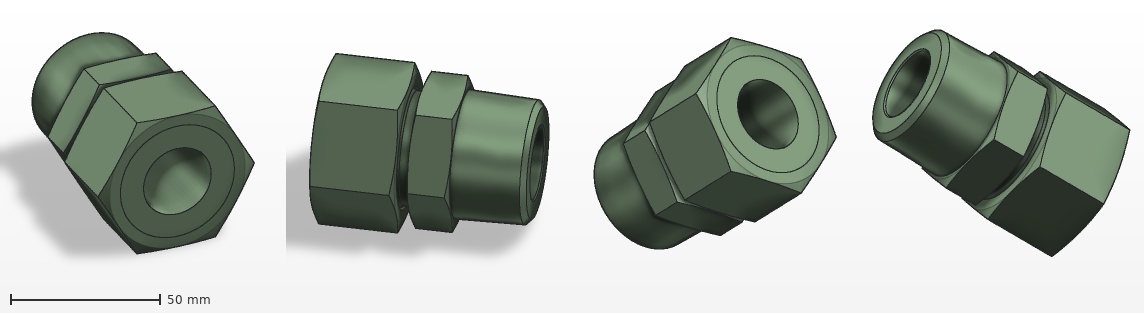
import cadquery as cq
import math

BODY_HEX_START = 25.6
BODY_HEX_END = 40.0
NUT_START = 44.0
TOTAL_LENGTH = 73.0

THREAD_END_RADIUS = 21.9
THREAD_TAPER = 1 / 16
TIP_CHAMFER_LENGTH = 1.9
TIP_RADIUS = 19.05

NECK_RADIUS = 19.5
NECK_END = 43.5
SPIGOT_RADIUS = 21.0
SPIGOT_CONE_ANGLE = 30

BORE_RADIUS = 12.5
BORE_CHAMFER = 0.5

HEX_SIDES = 6
BODY_HEX_FLATS = 46.05
NUT_FLATS = 50.0
HEX_CHAMFER_ANGLE = 15


def turned(profile):
    """Solid of revolution about the X axis from (x, radius) points."""
    return cq.Workplane("XY").polyline(profile).close().revolve(360, (0, 0, 0), (1, 0, 0))


def chamfered_hexagon(start, end, across_flats):
    """Hexagonal prism along X whose corners are turned down at both ends."""
    flat_radius = across_flats / 2
    corner_radius = flat_radius / math.cos(math.pi / HEX_SIDES)
    corner_drop = (corner_radius - flat_radius) * math.tan(math.radians(HEX_CHAMFER_ANGLE))
    prism = cq.Workplane("YZ", origin=(start, 0, 0)).polygon(HEX_SIDES, 2 * corner_radius).extrude(end - start)
    envelope = turned([
        (start, 0),
        (start, flat_radius),
        (start + corner_drop, corner_radius),
        (end - corner_drop, corner_radius),
        (end, flat_radius),
        (end, 0),
    ])
    return prism.intersect(envelope)


def fitting_body():
    """Tapered thread, hexagon, neck and spigot in one piece, bored through."""
    taper_length = BODY_HEX_START - TIP_CHAMFER_LENGTH
    thread_start_radius = THREAD_END_RADIUS - taper_length * THREAD_TAPER / 2
    cone_length = (SPIGOT_RADIUS - NECK_RADIUS) / math.tan(math.radians(SPIGOT_CONE_ANGLE))
    shaft = turned([
        (0, 0),
        (0, TIP_RADIUS),
        (TIP_CHAMFER_LENGTH, thread_start_radius),
        (BODY_HEX_START, THREAD_END_RADIUS),
        (BODY_HEX_START, NECK_RADIUS),
        (NECK_END, NECK_RADIUS),
        (NECK_END + cone_length, SPIGOT_RADIUS),
        (TOTAL_LENGTH, SPIGOT_RADIUS),
        (TOTAL_LENGTH, 0),
    ])
    bore = turned([
        (0, 0),
        (0, BORE_RADIUS + BORE_CHAMFER),
        (BORE_CHAMFER, BORE_RADIUS),
        (TOTAL_LENGTH, BORE_RADIUS),
        (TOTAL_LENGTH, 0),
    ])
    hexagon = chamfered_hexagon(BODY_HEX_START, BODY_HEX_END, BODY_HEX_FLATS)
    return shaft.union(hexagon).cut(bore)


def union_nut():
    """Hexagon nut whose bore fits the spigot of the body."""
    hexagon = chamfered_hexagon(NUT_START, TOTAL_LENGTH, NUT_FLATS)
    spigot_hole = (
        cq.Workplane("YZ", origin=(NUT_START, 0, 0)).circle(SPIGOT_RADIUS).extrude(TOTAL_LENGTH - NUT_START)
    )
    return hexagon.cut(spigot_hole)


body = fitting_body()
nut = union_nut()

result = cq.Compound.makeCompound([body.val(), nut.val()])